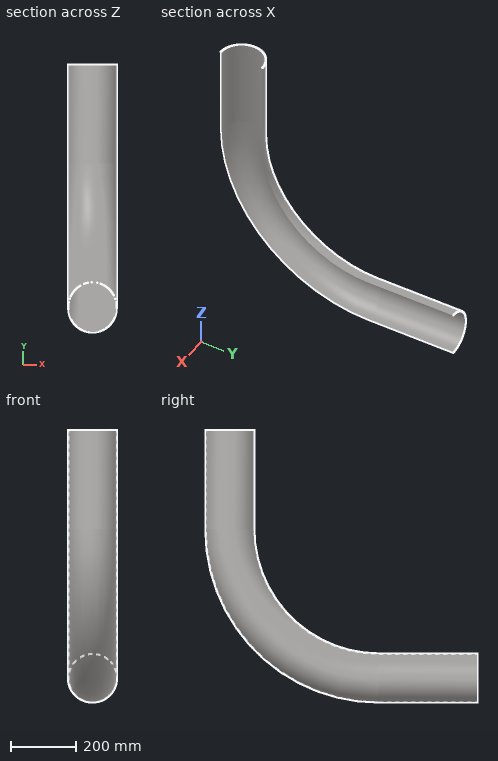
import cadquery as cq

OUTER_DIAMETER = 152.4
INNER_DIAMETER = 146.3
BEND_RADIUS = 3 * OUTER_DIAMETER
LEG_LENGTH = 2 * OUTER_DIAMETER
BEND_ANGLE = 90


def pipe_section(plane):
    """Sketch the annular pipe wall at the origin of the given plane."""
    return cq.Workplane(plane).circle(OUTER_DIAMETER / 2).circle(INNER_DIAMETER / 2)


def vertical_leg():
    """Straight leg rising along +Z from the upper end of the bend."""
    return pipe_section("XY").extrude(LEG_LENGTH)


def bend():
    """Quarter torus turning from the vertical leg down to the horizontal leg.

    It revolves about a line parallel to X through the bend centre, which
    lies one bend radius from the vertical leg's centreline along +Y.
    """
    axis_start = (0, BEND_RADIUS)
    axis_end = (1, BEND_RADIUS)
    return pipe_section("XY").revolve(BEND_ANGLE, axis_start, axis_end)


def horizontal_leg():
    """Straight leg running along +Y from the lower end of the bend."""
    start = cq.Plane(
        origin=(0, BEND_RADIUS, -BEND_RADIUS),
        xDir=(1, 0, 0),
        normal=(0, 1, 0),
    )
    return pipe_section(start).extrude(LEG_LENGTH)


result = vertical_leg().union(bend()).union(horizontal_leg())